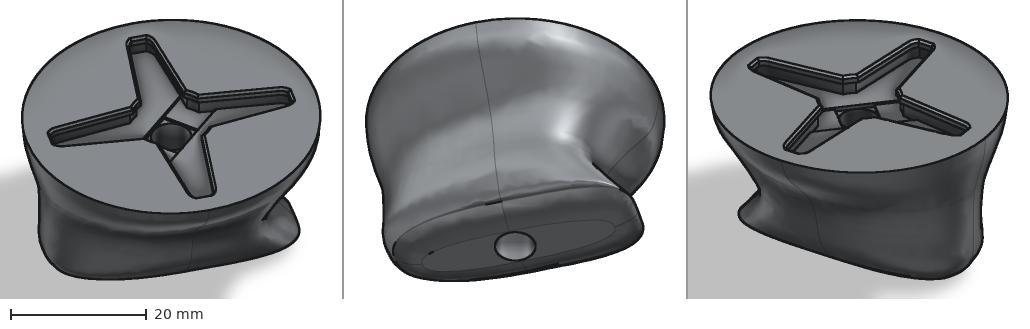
import cadquery as cq
import math

height = 25.8
head_half_x = 21.6
head_half_y = 22.0
rim_height = 2.1

rim_section = (rim_height, 7.55, 18.4, 18.83, 2.5, 3.9)
cap_sections = [
    (0.0, 3.3, 14.15, 15.18, 2.5, 2.5),
    (0.53, 5.1, 16.0, 17.0, 2.5, 3.0),
    (1.2, 6.45, 17.25, 18.12, 2.5, 3.2),
    rim_section,
]
grip_sections = [
    rim_section,
    (3.7, 9.2, 19.35, 17.55, 2.5, 3.4),
    (6.1, 10.65, 19.9, 15.6, 2.3, 3.0),
    (7.7, 11.2, 19.9, 14.35, 2.1, 3.1),
    (9.68, 11.6, 19.9, 13.7, 2.0, 3.2),
    (12.45, 12.4, 19.9, 15.1, 2.0, 3.0),
    (15.65, 14.15, 20.0, 18.05, 2.0, 2.5),
    (18.05, 16.28, 20.55, 20.5, 2.0, 2.1),
    (19.6, 17.85, 21.0, 21.2, 2.0, 2.0),
    (22.0, 19.93, 21.6, 21.7, 2.0, 2.0),
    (23.75, 20.85, 21.85, 21.9, 2.0, 2.0),
    (height, head_half_x, head_half_y, head_half_y, 2.0, 2.0),
]
quarter_points = 7

arm_count = 4
arm_taper = 7.2
tip_center = 16.7
tip_radius = 1.8
tip_flat = 18.12
hub_radius = 5.95
mouth_chamfer = 0.4
chamfer_angle = 45.0
neck_depth = 1.2
undercut = 0.55
pocket_depth = 3.3

hole_diameter = 6.0
step_depth = 0.33
step_angle = -45.0


def quarter_edge(z, half_x, reach, fullness):
    """Smooth quarter outline from the X axis to the Y axis, square to both axes at its ends."""
    points = []
    parameters = []
    for i in range(quarter_points):
        fraction = i / (quarter_points - 1)
        cosine = abs(math.cos(math.pi / 2 * fraction))
        sine = abs(math.sin(math.pi / 2 * fraction))
        stretch = (cosine ** fullness + sine ** fullness) ** (-1 / fullness)
        points.append(cq.Vector(half_x * cosine * stretch, reach * sine * stretch, z))
        parameters.append(fraction)
    along_y = cq.Vector(0, reach * math.pi / 2, 0)
    along_x = cq.Vector(-half_x * math.pi / 2, 0, 0)
    return cq.Edge.makeSpline(points, tangents=[along_y, along_x], parameters=parameters, scale=False)


def section_wire(z, half_x, reach_front, reach_back, fullness_front, fullness_back):
    """Closed smooth outline at height z, mirrored about the YZ plane."""
    back = quarter_edge(z, half_x, reach_back, fullness_back)
    front = quarter_edge(z, half_x, -reach_front, fullness_front)
    edges = [back, back.mirror("YZ"), front.mirror("YZ"), front]
    return cq.Wire.assembleEdges(edges)


def loft_body(sections):
    return cq.Workplane(cq.Solid.makeLoft([section_wire(*s) for s in sections]))


def star(top, depth, growth=0.0, taper=0.0):
    """Four-armed star reaching down from height top, its outline grown outward by growth."""
    slope = math.radians(arm_taper)
    radius = tip_radius + growth
    flat = tip_flat + growth
    root_x = (radius + tip_center * math.sin(slope)) / math.cos(slope)
    side_x = radius * math.cos(slope)
    side_y = tip_center + radius * math.sin(slope)
    flat_x = math.sqrt(radius ** 2 - (flat - tip_center) ** 2)
    middle = (slope + math.asin((flat - tip_center) / radius)) / 2
    middle_x = radius * math.cos(middle)
    middle_y = tip_center + radius * math.sin(middle)
    plane = cq.Workplane("XY", origin=(0, 0, top))
    shape = plane.circle(hub_radius + growth).extrude(-depth, taper=taper)
    arm = (
        plane.moveTo(-root_x, 0)
        .lineTo(-side_x, side_y)
        .threePointArc((-middle_x, middle_y), (-flat_x, flat))
        .lineTo(flat_x, flat)
        .threePointArc((middle_x, middle_y), (side_x, side_y))
        .lineTo(root_x, 0)
        .close()
        .extrude(-depth, taper=taper)
    )
    for quarter in range(arm_count):
        shape = shape.union(arm.rotate((0, 0, 0), (0, 0, 1), 360 / arm_count * quarter))
    return shape


def floor_step(length, top, depth):
    """Block as wide as the hole, turned to the band direction."""
    block = cq.Workplane("XY", origin=(0, 0, top)).rect(length, hole_diameter).extrude(-depth)
    return block.rotate((0, 0, 0), (0, 0, 1), step_angle)


body = loft_body(cap_sections).union(loft_body(grip_sections))

body = body.cut(star(height, mouth_chamfer, growth=mouth_chamfer, taper=chamfer_angle))
body = body.cut(star(height, neck_depth))
floor = height - pocket_depth
body = body.cut(star(height - neck_depth, pocket_depth - neck_depth, growth=undercut))

band = floor_step(2 * tip_flat, floor, step_depth)
body = body.cut(band.intersect(star(floor, step_depth, growth=undercut)))
body = body.cut(floor_step(hole_diameter, floor, 2 * step_depth))
hole = cq.Workplane("XY").circle(hole_diameter / 2).extrude(height)

result = body.cut(hole)